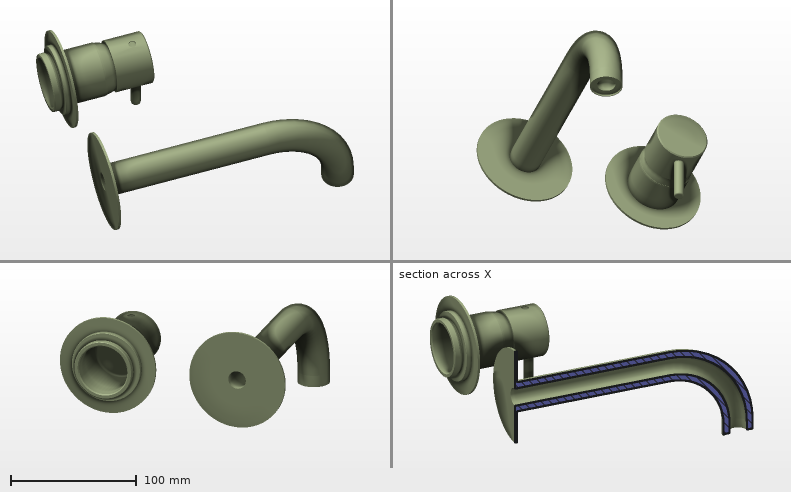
import cadquery as cq

overall_depth = 221.5
axis_spacing = 108.0
plate_radius = 80.0 / 2
plate_thickness = 2.0

tube_radius = 26.0 / 2
bore_radius = 7.3
bend_radius = 60.5
reach = 209.0
outlet_length = 9.5
outlet_recess_radius = 12.5
outlet_recess_depth = 1.5
straight_length = reach - tube_radius - bend_radius

collar_radius = 28.5
collar_depth = 4.5
collar_chamfer = 0.2
relief_radius = 22.4
relief_length = 0.9
flare_radius = 23.3
flare_length = 1.3
flange_radius = 24.0
flange_length = 4.7
flange_chamfer = 0.5
rear_depth = overall_depth - reach
body_radius = 22.0
body_end = 32.8
body_edge_depth = 0.2
body_edge_length = 1.5
shoulder_radius = 21.5
neck_radius = 18.8
neck_bulge = 0.55
handle_radius = 42.5 / 2
handle_start = 41.2
handle_end = 72.0
handle_chamfer = 0.9

cavity_radius = 20.2
mouth_chamfer = 0.9
cavity_fillet = 1.8
cavity_end = 31.0

lever_radius = 8.0 / 2
lever_position = 63.1
lever_reach = 54.7
lever_fillet = 1.3
screw_radius = 3.0
screw_position = 60.2
screw_recess_depth = 0.9


def wall_plate(center_x):
    """Thin round plate standing against the wall."""
    return (
        cq.Workplane("XZ", origin=(center_x, 0, 0))
        .circle(plate_radius)
        .extrude(-plate_thickness)
    )


def bent_rod(radius):
    """Round rod that runs out from the wall, bends down and ends in a short straight outlet."""
    bend_end = (straight_length + bend_radius, -bend_radius)
    path = (
        cq.Workplane("YZ", origin=(axis_spacing, 0, 0))
        .lineTo(straight_length, 0)
        .tangentArcPoint(bend_end, relative=False)
        .lineTo(bend_end[0], bend_end[1] - outlet_length)
    )
    return cq.Workplane("XZ", origin=(axis_spacing, 0, 0)).circle(radius).sweep(path)


def outlet_recess():
    """Shallow round recess around the bore in the downward end of the spout."""
    outlet_center = (axis_spacing, straight_length + bend_radius, -bend_radius - outlet_length)
    return (
        cq.Workplane("XY", origin=outlet_center)
        .circle(outlet_recess_radius)
        .extrude(outlet_recess_depth)
    )


def make_spout():
    return (
        wall_plate(axis_spacing)
        .union(bent_rod(tube_radius))
        .cut(bent_rod(bore_radius))
        .cut(outlet_recess())
    )


def mixer_turned_body():
    """Outside of the mixer, turned about the Y axis from the rear flange to the handle end."""
    flange_front = -rear_depth + flange_length
    relief_end = -collar_depth - relief_length
    neck_middle = ((neck_radius + shoulder_radius) / 2 + neck_bulge, (handle_start + body_end) / 2)
    return (
        cq.Workplane("XY")
        .moveTo(0, -rear_depth)
        .lineTo(flange_radius - flange_chamfer, -rear_depth)
        .lineTo(flange_radius, -rear_depth + flange_chamfer)
        .lineTo(flange_radius, flange_front)
        .lineTo(flare_radius, relief_end - flare_length)
        .lineTo(relief_radius, relief_end)
        .lineTo(relief_radius, -collar_depth)
        .lineTo(collar_radius - collar_chamfer, -collar_depth)
        .lineTo(collar_radius, -collar_depth + collar_chamfer)
        .lineTo(collar_radius, 0)
        .lineTo(body_radius, 0)
        .lineTo(body_radius, body_end - body_edge_length)
        .lineTo(body_radius - body_edge_depth, body_end)
        .lineTo(shoulder_radius, body_end)
        .threePointArc(neck_middle, (neck_radius, handle_start))
        .lineTo(handle_radius, handle_start)
        .lineTo(handle_radius, handle_end - handle_chamfer)
        .lineTo(handle_radius - handle_chamfer, handle_end)
        .lineTo(0, handle_end)
        .close()
        .revolve(360, (0, 0), (0, 1))
    )


def mixer_cavity():
    """Round cavity with a chamfered rear mouth and a rounded rim around its flat floor."""
    cavity_length = rear_depth + cavity_end
    return (
        cq.Workplane("XZ", origin=(0, -rear_depth, 0))
        .circle(cavity_radius)
        .extrude(-cavity_length)
        .faces(">Y")
        .edges()
        .fillet(cavity_fillet)
        .union(mouth_cone())
    )


def mouth_cone():
    """Short 45 degree cone that opens the rear mouth of the cavity."""
    return (
        cq.Workplane("XZ", origin=(0, -rear_depth, 0))
        .circle(cavity_radius + mouth_chamfer)
        .extrude(-mouth_chamfer, taper=45)
    )


def lever():
    """Round lever hanging from the handle, starting on the handle axis."""
    return (
        cq.Workplane("XY", origin=(0, lever_position, -lever_reach))
        .circle(lever_radius)
        .extrude(lever_reach)
        .faces("<Z")
        .edges()
        .fillet(lever_fillet)
    )


def screw_recess():
    """Shallow round recess in the top of the handle."""
    return (
        cq.Workplane("XY", origin=(0, screw_position, handle_radius - screw_recess_depth))
        .circle(screw_radius)
        .extrude(2 * screw_recess_depth)
    )


def make_mixer():
    return (
        mixer_turned_body()
        .union(wall_plate(0))
        .cut(mixer_cavity())
        .union(lever())
        .cut(screw_recess())
    )


spout = make_spout()
mixer = make_mixer()

result = cq.Compound.makeCompound([mixer.val(), spout.val()])